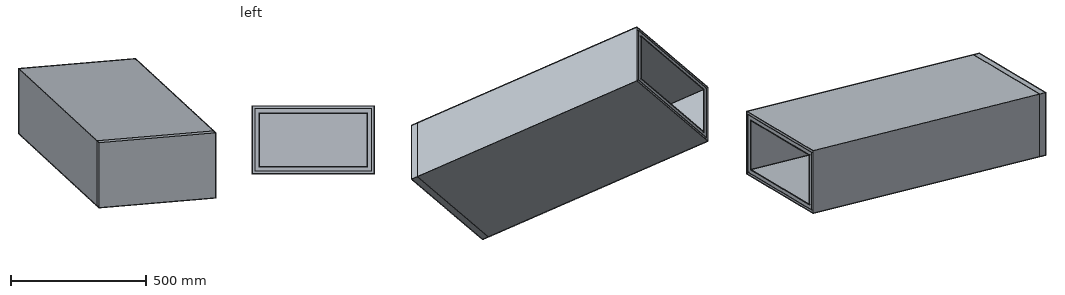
import cadquery as cq

length = 1025.0
width = 451.0
height = 251.0

shell_wall = 10.0
liner_wall = 15.0
end_plate_thickness = 27.0
sleeve_wall = 2.0

duct_length = length - end_plate_thickness
liner_width = width - 2 * shell_wall
liner_height = height - 2 * shell_wall
sleeve_width = liner_width - 2 * liner_wall
sleeve_height = liner_height - 2 * liner_wall


def block(x_start, x_length, y_width, z_height):
    """Box centred on the X axis, reaching from x_start toward +X."""
    box = cq.Workplane("XY").box(x_length, y_width, z_height, centered=(False, True, True))
    return box.translate((x_start, 0, 0))


def tube(outer_width, outer_height, wall):
    """Rectangular tube along the duct, open at both ends."""
    bore = block(0, duct_length, outer_width - 2 * wall, outer_height - 2 * wall)
    return block(0, duct_length, outer_width, outer_height).cut(bore)


shell = tube(width, height, shell_wall)

liner = tube(liner_width, liner_height, liner_wall)

end_plate = block(duct_length, end_plate_thickness, width, height)

sleeve = tube(sleeve_width, sleeve_height, sleeve_wall)

result = cq.Compound.makeCompound([shell.val(), liner.val(), end_plate.val(), sleeve.val()])